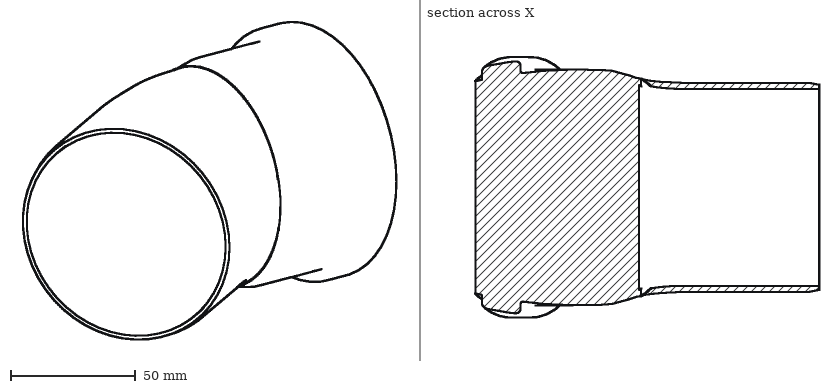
import cadquery as cq
import math

pipe_radius = 90.3 / 2
bore_radius = 85.4 / 2
spigot_length = 55.5
tip_length = 4.1
tip_inset = 0.8

bend_angle = 30
pivot_clearance = 0.2
bend_radius = pipe_radius + pivot_clearance

neck_radius = 90.9 / 2
socket_radius = 94.6 / 2
collar_radius = 104.5 / 2
collar_face_radius = 100.2 / 2
lip_radius = 95.0 / 2
neck_bottom = -0.6
neck_top = 0.9
cone_top = 9.5
collar_bottom = 41.1
collar_top = 54.7
lip_top = 57.0
root_fillet = 0.9
collar_round = collar_radius - collar_face_radius
corner_share = 1 - math.sqrt(0.5)
arc_inset = collar_round * corner_share
root_inset = root_fillet * corner_share


def swept_bend(radius):
    """Circular section turned about the pivot beside the spigot."""
    return (
        cq.Workplane("XZ", origin=(0, spigot_length, 0))
        .circle(radius)
        .revolve(bend_angle, (bend_radius, 1.5, 0), (bend_radius, 0, 0))
    )


def make_spigot():
    """Straight pipe with a slightly tapered tip."""
    profile = (
        cq.Workplane("XY")
        .lineTo(pipe_radius - tip_inset, 0)
        .lineTo(pipe_radius, tip_length)
        .lineTo(pipe_radius, spigot_length)
        .lineTo(0, spigot_length)
        .close()
    )
    return profile.revolve(360, (0, 0, 0), (0, 1, 0))


def make_socket():
    """Closed socket: neck, flare, cylinder, rounded collar and end lip."""
    profile = (
        cq.Workplane("XY")
        .moveTo(0, neck_bottom)
        .lineTo(neck_radius, neck_bottom)
        .lineTo(neck_radius, neck_top)
        .lineTo(socket_radius, cone_top)
        .lineTo(socket_radius, collar_bottom - root_fillet)
        .threePointArc(
            (socket_radius + root_inset, collar_bottom - root_inset),
            (socket_radius + root_fillet, collar_bottom),
        )
        .lineTo(collar_face_radius, collar_bottom)
        .threePointArc(
            (collar_radius - arc_inset, collar_bottom + arc_inset),
            (collar_radius, collar_bottom + collar_round),
        )
        .lineTo(collar_radius, collar_top - collar_round)
        .threePointArc(
            (collar_radius - arc_inset, collar_top - arc_inset),
            (collar_face_radius, collar_top),
        )
        .lineTo(lip_radius, collar_top)
        .lineTo(lip_radius, lip_top)
        .lineTo(0, lip_top)
        .close()
    )
    upright = profile.revolve(360, (0, 0, 0), (0, 1, 0)).translate((0, spigot_length, 0))
    pivot_start = (bend_radius, spigot_length, 0)
    pivot_end = (bend_radius, spigot_length, 1)
    return upright.rotate(pivot_start, pivot_end, -bend_angle)


spigot_bore = cq.Workplane("XZ").circle(bore_radius).extrude(-spigot_length)

result = (
    make_spigot()
    .union(swept_bend(pipe_radius))
    .union(make_socket())
    .cut(spigot_bore)
    .cut(swept_bend(bore_radius))
)